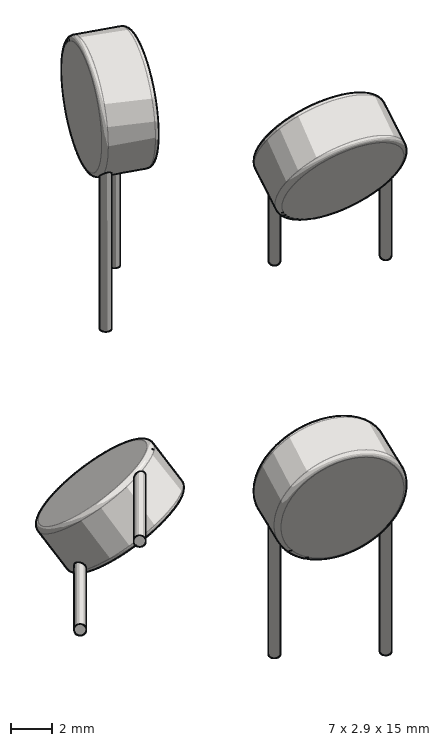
import cadquery as cq

body_diameter = 7.0
body_thickness = 2.9
edge_radius = 0.25

total_height = 15.0
lead_diameter = 0.6
lead_spacing_x = 5.0
lead_spacing_y = 2.0

body_radius = body_diameter / 2
lead_bottom = body_radius - total_height


def make_body():
    """Disc with both rims rounded."""
    disc = cq.Workplane("XZ", origin=(0, body_thickness / 2, 0)).circle(body_radius).extrude(body_thickness)
    return disc.edges("%CIRCLE").fillet(edge_radius)


def make_lead(side):
    """Round lead from its free end up to the mid-height of the body."""
    x = side * lead_spacing_x / 2
    y = -side * lead_spacing_y / 2
    return (
        cq.Workplane("XY", origin=(x, y, lead_bottom))
        .circle(lead_diameter / 2)
        .extrude(-lead_bottom)
    )


result = make_body()
for side in (-1, 1):
    result = result.union(make_lead(side))